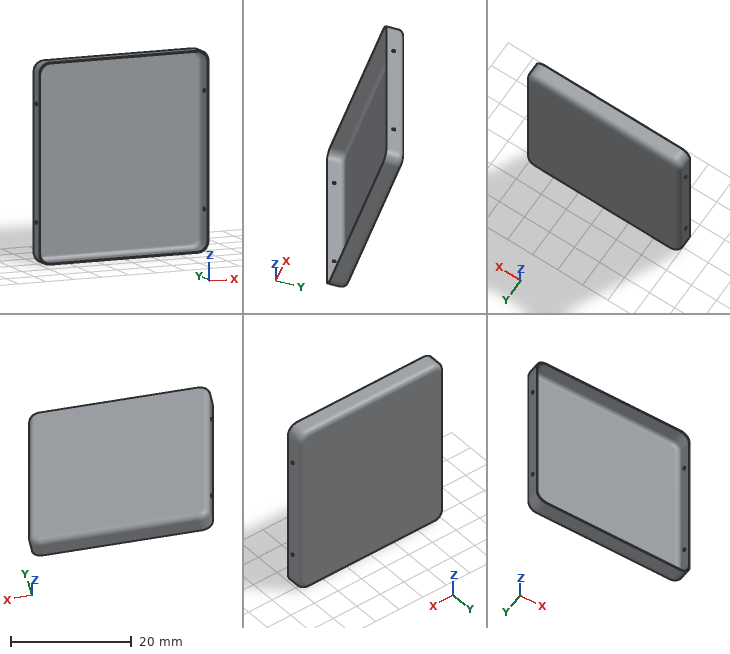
import cadquery as cq
import math

width = 30.7
depth = 3.2
height = 34.2
wall = 0.25
corner_radius = 1.95
floor_edge_radius = 1.03

bump_radius = 0.27
bump_rise = 0.17
bump_spacing = 20.0
bump_from_rim = 1.23

rim_y = -depth / 2
bump_y = rim_y + bump_from_rim
bump_sphere_radius = (bump_radius**2 + bump_rise**2) / (2 * bump_rise)


def rounded_block(inset):
    """Block with rounded corners and floor edge, set in from the outer faces except at the rim."""
    return (
        cq.Workplane("XZ", origin=(0, rim_y, 0))
        .rect(width - 2 * inset, height - 2 * inset)
        .extrude(-(depth - inset))
        .edges("|Y")
        .fillet(corner_radius - inset)
        .faces(">Y")
        .edges()
        .fillet(floor_edge_radius - inset)
    )


def spherical_cap(face_x, z):
    """Cap with its flat base at face_x, rising toward the YZ plane."""
    apex = (face_x - bump_rise, 0)
    rim_point = (face_x, bump_radius)
    half_angle = math.asin(bump_radius / bump_sphere_radius) / 2
    arc_point = (
        face_x - bump_rise + bump_sphere_radius * (1 - math.cos(half_angle)),
        bump_sphere_radius * math.sin(half_angle),
    )
    return (
        cq.Workplane("XY", origin=(0, bump_y, z))
        .moveTo(face_x, 0)
        .lineTo(*rim_point)
        .threePointArc(arc_point, apex)
        .close()
        .revolve(360, (0, 0), (1, 0))
    )


outer = rounded_block(0)
tray = outer.cut(rounded_block(wall))

for z in (-bump_spacing / 2, bump_spacing / 2):
    raised_cap = spherical_cap(width / 2 - wall, z)
    dimple = spherical_cap(width / 2, z)
    tray = tray.union(raised_cap).union(raised_cap.mirror("YZ"))
    tray = tray.cut(dimple).cut(dimple.mirror("YZ"))

result = tray